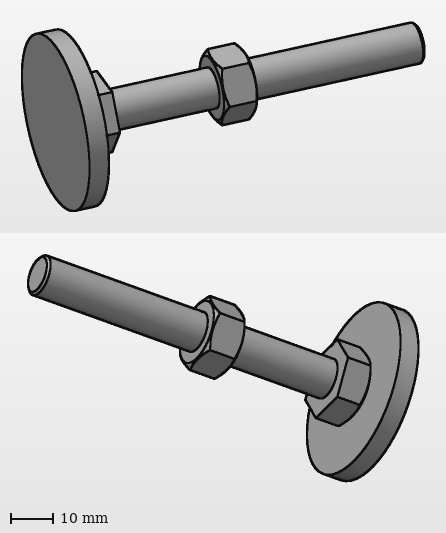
import cadquery as cq
import math

total_length = 92.5

plate_diameter = 43.0
plate_thickness = 5.0

rod_diameter = 10.0
tip_chamfer = 0.65
collar_across_flats = 17.0
collar_height = 7.5
collar_face_diameter = 15.4

nut_across_flats = 16.0
nut_height = 8.5
nut_start = 39.9
nut_face_diameter = 15.5

corner_chamfer_angle = 30.0


def cylinder_along_y(diameter, start, length):
    """Cylinder about the Y axis that extends from start toward +Y."""
    return (
        cq.Workplane("XZ", origin=(0, start, 0))
        .circle(diameter / 2)
        .extrude(-length)
    )


def chamfered_hexagon(across_flats, height, face_diameter, start, chamfer_far_end):
    """Hexagon along Y with corners on X, turned conically at its ends."""
    corner_diameter = across_flats / math.cos(math.pi / 6)
    hexagon = (
        cq.Workplane("XZ", origin=(0, start, 0))
        .polygon(6, corner_diameter)
        .extrude(-height)
    )
    corner_radius = corner_diameter / 2
    face_radius = face_diameter / 2
    cone_depth = (corner_radius - face_radius) * math.tan(math.radians(corner_chamfer_angle))
    end = start + height
    profile = cq.Workplane("XY").moveTo(0, start).lineTo(face_radius, start)
    profile = profile.lineTo(corner_radius, start + cone_depth)
    if chamfer_far_end:
        profile = profile.lineTo(corner_radius, end - cone_depth).lineTo(face_radius, end)
    else:
        profile = profile.lineTo(corner_radius, end)
    envelope = profile.lineTo(0, end).close().revolve(360, (0, 0, 0), (0, 1, 0))
    return hexagon.intersect(envelope)


def make_plate():
    return cylinder_along_y(plate_diameter, 0, plate_thickness)


def make_spindle():
    rod = cylinder_along_y(rod_diameter, plate_thickness, total_length - plate_thickness)
    rod = rod.faces(">Y").chamfer(tip_chamfer)
    collar = chamfered_hexagon(
        collar_across_flats, collar_height, collar_face_diameter, plate_thickness, False
    )
    return rod.union(collar)


def make_lock_nut():
    nut = chamfered_hexagon(nut_across_flats, nut_height, nut_face_diameter, nut_start, True)
    bore = cylinder_along_y(rod_diameter, nut_start, nut_height)
    return nut.cut(bore)


plate = make_plate()
spindle = make_spindle()
lock_nut = make_lock_nut()

result = cq.Compound.makeCompound([plate.val(), spindle.val(), lock_nut.val()])